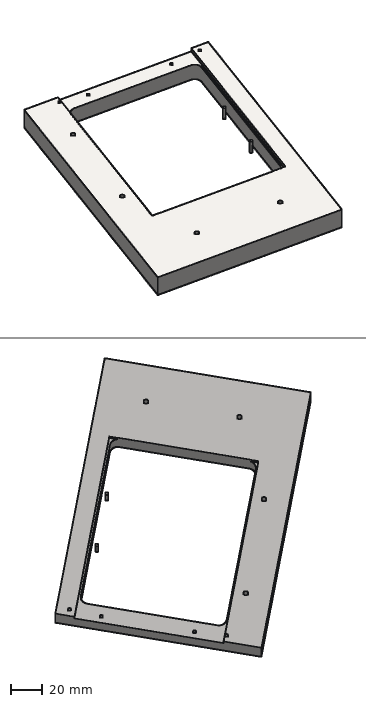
import cadquery as cq

PLATE_LENGTH = 179.68
PLATE_WIDTH = 134.18
PLATE_HEIGHT = 15.59

RECESS_LENGTH = 126.8
RECESS_WIDTH = 97.0
RECESS_DEPTH = 2.75
RECESS_FRONT = 24.7

RIM_LEFT = 11.5
RIM_FRONT = 0.85
RIM_BACK = 1.3
WINDOW_RADIUS = 5.0
WINDOW_OVERRUN = 0.1
WINDOW_LENGTH = RECESS_LENGTH - RIM_LEFT + WINDOW_OVERRUN
WINDOW_WIDTH = RECESS_WIDTH - RIM_FRONT - RIM_BACK
WINDOW_FRONT = RECESS_FRONT + RIM_FRONT
WINDOW_BACK = WINDOW_FRONT + WINDOW_WIDTH

SMALL_HOLE_DIAMETER = 2.0
SMALL_HOLE_X = 4.45
SMALL_HOLE_FIRST_Y = 23.5
SMALL_HOLE_SPACING = 20.8
SMALL_HOLE_PAIR_PITCH = 81.4

LARGE_HOLE_DIAMETER = 3.0
FRONT_HOLE_FIRST_X = 35.4
FRONT_HOLE_SPACING = 66.15
FRONT_HOLE_Y = 16.5
RIGHT_HOLE_X = 154.7
RIGHT_HOLE_FIRST_Y = 42.0
RIGHT_HOLE_SPACING = 60.8

PIN_DIAMETER = 2.0
PIN_LENGTH = 9.7
PIN_BOTTOM = 0.3
PIN_FIRST_X = 53.7
PIN_SPACING = 36.1
PIN_WALL_DISTANCE = 3.7
PIN_COUNT = 2


def block(length, width, height, corner):
    """Box whose lowest corner sits at the given point."""
    return cq.Workplane("XY").box(length, width, height, centered=False).translate(corner)


def drills(points, diameter):
    """Cylinders that cut through the whole plate at the given points."""
    return cq.Workplane("XY").pushPoints(points).circle(diameter / 2).extrude(PLATE_HEIGHT)


def make_plate():
    plate = block(PLATE_LENGTH, PLATE_WIDTH, PLATE_HEIGHT, (0, 0, 0))

    recess_floor = PLATE_HEIGHT - RECESS_DEPTH
    plate = plate.cut(block(RECESS_LENGTH, RECESS_WIDTH, RECESS_DEPTH, (0, RECESS_FRONT, recess_floor)))

    window = block(WINDOW_LENGTH, WINDOW_WIDTH, PLATE_HEIGHT, (RIM_LEFT, WINDOW_FRONT, 0))
    plate = plate.cut(window.edges("|Z").fillet(WINDOW_RADIUS))

    small_holes = [
        (SMALL_HOLE_X, SMALL_HOLE_FIRST_Y + pair * SMALL_HOLE_PAIR_PITCH + hole * SMALL_HOLE_SPACING)
        for pair in range(2)
        for hole in range(2)
    ]
    plate = plate.cut(drills(small_holes, SMALL_HOLE_DIAMETER))

    front_holes = [(FRONT_HOLE_FIRST_X + hole * FRONT_HOLE_SPACING, FRONT_HOLE_Y) for hole in range(2)]
    right_holes = [(RIGHT_HOLE_X, RIGHT_HOLE_FIRST_Y + hole * RIGHT_HOLE_SPACING) for hole in range(2)]
    return plate.cut(drills(front_holes + right_holes, LARGE_HOLE_DIAMETER))


def make_pin(index):
    x = PIN_FIRST_X + index * PIN_SPACING
    y = WINDOW_BACK - PIN_WALL_DISTANCE
    pin = cq.Workplane("XY").circle(PIN_DIAMETER / 2).extrude(PIN_LENGTH)
    return pin.translate((x, y, PIN_BOTTOM))


plate = make_plate()
pins = [make_pin(index) for index in range(PIN_COUNT)]

result = cq.Compound.makeCompound([plate.val(), *[pin.val() for pin in pins]])